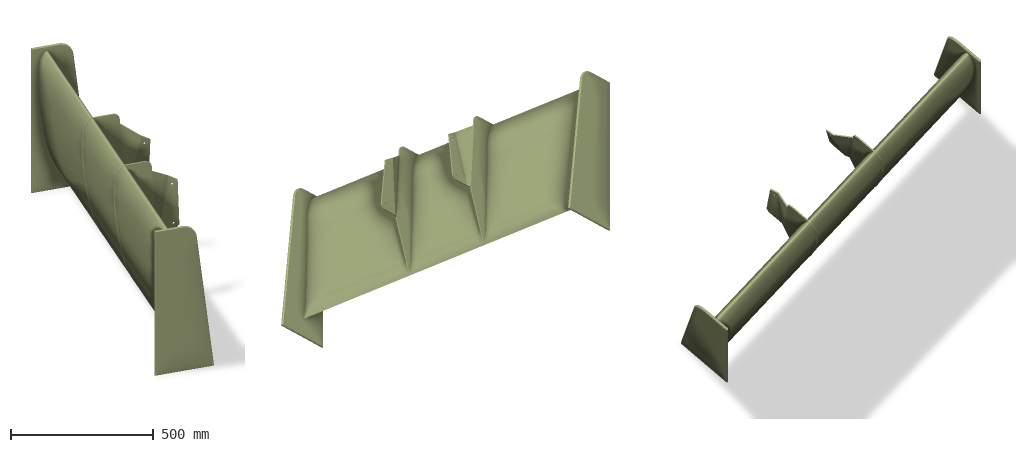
import cadquery as cq


span = 1340.0
depth = 263.31
height = 589.0
front_y = -depth / 2
back_y = depth / 2
top_z = height / 2
bottom_z = -height / 2

plate_thickness = 10.0
plate_bottom_depth = 220.0
plate_top_depth = 150.0
plate_corner_radius = 56.0
plate_edge_chamfer = 3.0

wing_length = span - 2 * plate_thickness
nose = (-76.5, 276.0)
trailing_edge = (-26.5, -223.5)
rear_face = [(-36.0, -160.0), (-41.0, -20.0), (-46.0, 130.0), (-60.5, 254.0)]
front_face = [(-92.0, 261.0), (-105.0, 222.0), (-108.2, 185.0), (-94.5, -12.0), (-63.0, -149.0)]

bracket_thickness = 5.0
bracket_outer_x = 175.0
web_top_z = nose[1] + 1.0
web_bottom_z = trailing_edge[1] + 9.0
web_corner_radius = 25.0
web_nose_y = -80.0
web_front_face = [(-95.0, 260.5), (-114.0, 180.0), (-97.0, -12.0), (-64.5, -149.0)]
web_front_bottom_y = -32.0
web_rear_bottom_y = -27.0

bracket_bottom_z = -18.0
web_fold_bottom = (44.0, bracket_bottom_z)
web_fold_top = (28.0, 233.0)
foot_fold_bottom = (57.0, bracket_bottom_z)
foot_fold_top = (97.0, 186.0)
foot_back_top_z = 165.0
foot_corner_chamfer = 12.0
foot_top_shift = 28.0

hole_diameter = 8.0
hole_y = 111.0
hole_lower_z = 2.0
hole_spacing = 150.0


def wing_section(start_x):
    """Closed airfoil outline with a sharp trailing edge."""
    points = [trailing_edge, *rear_face, nose, *front_face, trailing_edge]
    return cq.Workplane("YZ", origin=(start_x, 0, 0)).spline(points).close()


def make_wing():
    return wing_section(-wing_length / 2).extrude(wing_length)


def make_end_plate(start_x):
    """Plate with a sloping rear edge, rounded at its top rear corner and chamfered all round."""
    outline = [
        (front_y, bottom_z),
        (front_y + plate_bottom_depth, bottom_z),
        (front_y + plate_top_depth, top_z),
        (front_y, top_z),
    ]
    plate = cq.Workplane("YZ", origin=(start_x, 0, 0)).polyline(outline).close().extrude(plate_thickness)
    top_rear_corner = cq.selectors.NearestToPointSelector(
        (start_x + plate_thickness / 2, front_y + plate_top_depth, top_z)
    )
    plate = plate.edges(top_rear_corner).fillet(plate_corner_radius)
    return plate.faces("<X or >X").edges().chamfer(plate_edge_chamfer)


def distance_behind_web_fold(point):
    """Y distance of a point behind the web fold, at the height of the point."""
    y, z = point
    fold_slope = (web_fold_top[0] - web_fold_bottom[0]) / (web_fold_top[1] - web_fold_bottom[1])
    return y - web_fold_bottom[0] - fold_slope * (z - web_fold_bottom[1])


def foot_shift(z):
    """Inward shift of the leaning foot at height z, which keeps the middle panel flat."""
    middle_slope = foot_top_shift / distance_behind_web_fold(foot_fold_top)
    bottom_shift = middle_slope * distance_behind_web_fold(foot_fold_bottom)
    height_share = (z - bracket_bottom_z) / (foot_fold_top[1] - bracket_bottom_z)
    return bottom_shift + (foot_top_shift - bottom_shift) * height_share


def panel(corners):
    """Flat panel through 3D corners on its outer side, one bracket thickness through along X."""
    wire = cq.Wire.makePolygon([cq.Vector(*corner) for corner in corners], close=True)
    return cq.Workplane(cq.Solid.extrudeLinear(wire, [], cq.Vector(bracket_thickness, 0, 0)))


def on_web(point):
    """3D point on the outer side of the web."""
    return (-bracket_outer_x, *point)


def on_foot(point):
    """3D point on the outer side of the foot."""
    return (-bracket_outer_x + foot_shift(point[1]), *point)


def make_web():
    """Upright plate that the wing passes through, with a thin rim over the nose and front face."""
    corner_y = -distance_behind_web_fold((0, web_top_z))
    web = (
        cq.Workplane("YZ", origin=(-bracket_outer_x, 0, 0))
        .moveTo(web_rear_bottom_y, web_bottom_z)
        .lineTo(*web_fold_bottom)
        .lineTo(corner_y, web_top_z)
        .lineTo(web_nose_y, web_top_z)
        .spline([*web_front_face, (web_front_bottom_y, web_bottom_z)], includeCurrent=True)
        .close()
        .extrude(bracket_thickness)
    )
    top_rear_corner = cq.selectors.NearestToPointSelector(
        (-bracket_outer_x + bracket_thickness / 2, corner_y, web_top_z)
    )
    web = web.edges(top_rear_corner).fillet(web_corner_radius)
    return web.cut(make_wing())


def make_foot():
    """Leaning rear panel with one chamfered corner and two mounting holes."""
    outline = [
        foot_fold_bottom,
        (back_y - foot_corner_chamfer, bracket_bottom_z),
        (back_y, bracket_bottom_z + foot_corner_chamfer),
        (back_y, foot_back_top_z),
        foot_fold_top,
    ]
    foot = panel([on_foot(point) for point in outline])
    hole_points = [(hole_y, hole_lower_z), (hole_y, hole_lower_z + hole_spacing)]
    holes = (
        cq.Workplane("YZ", origin=(-bracket_outer_x - bracket_thickness, 0, 0))
        .pushPoints(hole_points)
        .circle(hole_diameter / 2)
        .extrude(bracket_outer_x)
    )
    return foot.cut(holes)


def make_left_bracket():
    middle_corners = [
        on_web(web_fold_bottom),
        on_foot(foot_fold_bottom),
        on_foot(foot_fold_top),
        on_web(web_fold_top),
    ]
    middle = panel(middle_corners)
    return make_web().union(middle).union(make_foot())


wing = make_wing()
end_plates = [make_end_plate(start_x) for start_x in (-span / 2, wing_length / 2)]
left_bracket = make_left_bracket()
brackets = [left_bracket, left_bracket.mirror("YZ")]

result = cq.Compound.makeCompound(
    [wing.val(), *[plate.val() for plate in end_plates], *[bracket.solids().val() for bracket in brackets]]
)